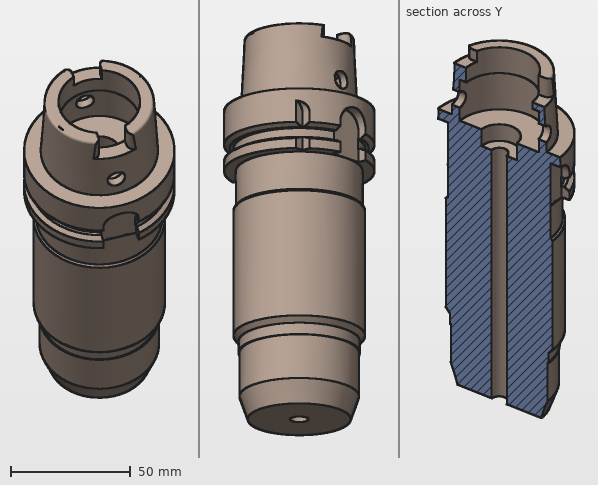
import cadquery as cq
import math

TOTAL_HEIGHT = 167.0
FLANGE_RADIUS = 63.0 / 2
FLANGE_BOTTOM = 109.0
FLANGE_TOP = 135.3
COLLAR_RADIUS = 26.5

GROOVE_RADIUS = 27.5
GROOVE_LIP_RADIUS = 29.0
GROOVE_LOW_EDGE = 113.4
GROOVE_FLOOR_BOTTOM = 114.7
GROOVE_FLOOR_TOP = 119.0
GROOVE_HIGH_EDGE = 120.5

BODY_RADIUS = 27.5
BODY_TOP = 92.7
BODY_EDGE_CHAMFER = BODY_RADIUS - COLLAR_RADIUS
BODY_BOTTOM = 36.7
NECK_RADIUS = 25.4
NECK_TOP = 34.2
NOSE_RADIUS = 25.0
NOSE_TOP = 29.2
NOSE_TAPER_HEIGHT = 10.0
TIP_RADIUS = 21.5

SHANK_BASE_RADIUS = 24.5
SHANK_TOP_RADIUS = 22.9
SHANK_EDGE_FILLET = 1.2
MOUTH_RADIUS = 17.0
MOUTH_DEPTH = 13.0
CAVITY_RADIUS = 20.2
CAVITY_DEPTH = 33.4
COUNTERBORE_RADIUS = 9.0
COUNTERBORE_DEPTH = 8.4
THROUGH_HOLE_RADIUS = 3.8
CROSS_HOLE_RADIUS = 3.8
CROSS_HOLE_HEIGHT = 144.0

DRIVE_SLOT_WIDTH = 12.4
DRIVE_SLOT_DEPTHS = {-1: 5.5, 1: 9.5}
DRIVE_SLOT_CORNER_RADIUS = 2.8
DRIVE_SLOT_CORNER_OVERRUN = 0.2

KEYWAY_WIDTH = 15.5
KEYWAY_FLOOR = COLLAR_RADIUS
KEYWAY_TOP = 130.1
NOTCH_WIDTH = 10.0
NOTCH_CENTER_Y = 25.0
NOTCH_FLOOR = 20.4
NOTCH_TOP = KEYWAY_TOP


def revolve_profile(points):
    """Revolve a closed (radius, height) outline about the Z axis."""
    return cq.Workplane("YZ").polyline(points).close().revolve(360, (0, 0), (0, 1))


def outer_body():
    lower = revolve_profile([
        (0, 0),
        (TIP_RADIUS, 0),
        (NOSE_RADIUS, NOSE_TAPER_HEIGHT),
        (NOSE_RADIUS, NOSE_TOP),
        (NECK_RADIUS, NOSE_TOP),
        (NECK_RADIUS, NECK_TOP),
        (BODY_RADIUS, BODY_BOTTOM),
        (BODY_RADIUS, BODY_TOP - BODY_EDGE_CHAMFER),
        (COLLAR_RADIUS, BODY_TOP),
        (COLLAR_RADIUS, FLANGE_BOTTOM),
        (FLANGE_RADIUS, FLANGE_BOTTOM),
        (FLANGE_RADIUS, GROOVE_LOW_EDGE),
        (GROOVE_LIP_RADIUS, GROOVE_FLOOR_BOTTOM),
        (GROOVE_RADIUS, GROOVE_FLOOR_BOTTOM),
        (GROOVE_RADIUS, GROOVE_FLOOR_TOP),
        (GROOVE_LIP_RADIUS, GROOVE_FLOOR_TOP),
        (FLANGE_RADIUS, GROOVE_HIGH_EDGE),
        (FLANGE_RADIUS, FLANGE_TOP),
        (0, FLANGE_TOP),
    ])
    shank = revolve_profile([
        (0, FLANGE_TOP),
        (SHANK_BASE_RADIUS, FLANGE_TOP),
        (SHANK_TOP_RADIUS, TOTAL_HEIGHT),
        (0, TOTAL_HEIGHT),
    ])
    shank = shank.faces(">Z").edges().fillet(SHANK_EDGE_FILLET)
    return lower.union(shank)


def central_bore():
    """Stepped bore: mouth, wider clamping cavity, counterbore and through hole."""
    mouth_bottom = TOTAL_HEIGHT - MOUTH_DEPTH
    cavity_bottom = TOTAL_HEIGHT - CAVITY_DEPTH
    counterbore_bottom = cavity_bottom - COUNTERBORE_DEPTH
    return revolve_profile([
        (0, 0),
        (THROUGH_HOLE_RADIUS, 0),
        (THROUGH_HOLE_RADIUS, counterbore_bottom),
        (COUNTERBORE_RADIUS, counterbore_bottom),
        (COUNTERBORE_RADIUS, cavity_bottom),
        (CAVITY_RADIUS, cavity_bottom),
        (CAVITY_RADIUS, mouth_bottom),
        (MOUTH_RADIUS, mouth_bottom),
        (MOUTH_RADIUS, TOTAL_HEIGHT),
        (0, TOTAL_HEIGHT),
    ])


def cross_hole():
    """Round hole along X through both walls of the shank."""
    return (
        cq.Workplane("YZ", origin=(-FLANGE_RADIUS, 0, 0))
        .center(0, CROSS_HOLE_HEIGHT)
        .circle(CROSS_HOLE_RADIUS)
        .extrude(2 * FLANGE_RADIUS)
    )


def drive_slot(side, depth):
    """Slot through one shank wall whose side walls round off into the taper."""
    radius = DRIVE_SLOT_CORNER_RADIUS
    half_width = DRIVE_SLOT_WIDTH / 2
    taper_slope = (SHANK_BASE_RADIUS - SHANK_TOP_RADIUS) / (TOTAL_HEIGHT - FLANGE_TOP)
    floor_radius = SHANK_TOP_RADIUS + taper_slope * depth
    arc_limit = floor_radius + DRIVE_SLOT_CORNER_OVERRUN

    center_y = half_width + radius
    center_x = math.sqrt((arc_limit - radius) ** 2 - center_y ** 2)
    end_angle = math.atan2(center_y, center_x)
    middle_angle = (end_angle - math.pi / 2) / 2
    arc_middle = (
        center_x + radius * math.cos(middle_angle),
        center_y + radius * math.sin(middle_angle),
    )
    arc_end = (arc_limit * math.cos(end_angle), arc_limit * math.sin(end_angle))

    half_slot = (
        cq.Workplane("XY", origin=(0, 0, TOTAL_HEIGHT - depth))
        .lineTo(0, half_width)
        .lineTo(center_x, half_width)
        .threePointArc(arc_middle, arc_end)
        .lineTo(FLANGE_RADIUS, arc_end[1])
        .lineTo(FLANGE_RADIUS, 0)
        .close()
        .extrude(depth)
    )
    slot = half_slot.union(half_slot.mirror("XZ"))
    return slot if side > 0 else slot.mirror("YZ")


def round_topped_cut(side, center_y, width, top, floor):
    """Cut along X into the flange: open at the bottom, half-round at the top."""
    half_width = width / 2
    spring_line = top - half_width
    cut = (
        cq.Workplane("YZ", origin=(floor, 0, 0))
        .moveTo(center_y - half_width, FLANGE_BOTTOM)
        .lineTo(center_y - half_width, spring_line)
        .threePointArc((center_y, top), (center_y + half_width, spring_line))
        .lineTo(center_y + half_width, FLANGE_BOTTOM)
        .close()
        .extrude(FLANGE_RADIUS)
    )
    return cut if side > 0 else cut.mirror("YZ")


result = outer_body().cut(central_bore()).cut(cross_hole())
for side, depth in DRIVE_SLOT_DEPTHS.items():
    result = result.cut(drive_slot(side, depth))
    result = result.cut(round_topped_cut(side, 0, KEYWAY_WIDTH, KEYWAY_TOP, KEYWAY_FLOOR))
result = result.cut(round_topped_cut(-1, NOTCH_CENTER_Y, NOTCH_WIDTH, NOTCH_TOP, NOTCH_FLOOR))